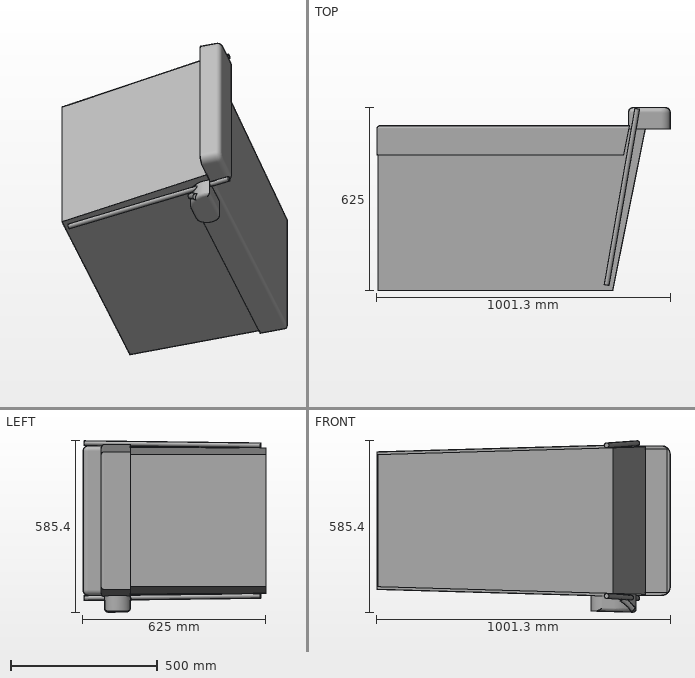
import math

import cadquery as cq

overall_length = 1001.29
overall_depth = 625.0

taper = math.tan(math.radians(1.65))
wall_step = 3.0
box_half_height = 225.2
box_length_front = 805.0
side_lean = math.tan(math.radians(11.4))
box_back = 551.0

band_front = 463.5
band_back = 562.8
band_rise = 9.7
band_length_front = 842.0
band_round = 10.5

cover_left = 858.0
cover_half_height = 255.5
cover_corner_radius = 30.0
cover_edge_round = 18.0
rim_width = 10.5
recess_depth = 0.5

rod_radius = 8.3
rod_front = (784.0, 19.0, 257.0)
rod_back = (888.5, 620.5, 264.4)

knob_left = 730.0
knob_right = 885.0
knob_nose_length = 38.5
knob_bend_radius = 74.0
knob_half_height = 287.6
knob_edge_round = 12.0
knob_top = 240.0
rib_radius = 11.0
rib_start = (835.0, 470.0, -265.0)
rib_end = (872.0, 498.0, -302.0)


def tapered_slab(half_height):
    """Wedge along X whose upper and lower faces spread apart with the taper."""
    end_half_height = half_height + taper * overall_length
    outline = [
        (0, -half_height),
        (overall_length, -end_half_height),
        (overall_length, end_half_height),
        (0, half_height),
    ]
    return cq.Workplane("XZ").polyline(outline).close().extrude(-overall_depth)


def leaning_prism(start, front, back, front_length):
    """Tall prism with a leaning right-hand side, used to trim a wedge in plan."""
    back_length = front_length + (back - front) * side_lean
    outline = [(start, front), (front_length, front), (back_length, back), (start, back)]
    return cq.Workplane("XY").polyline(outline).close().extrude(overall_length, both=True)


def rod(start, end, radius):
    """Cylinder between the centres of its two end faces."""
    direction = cq.Vector(*end) - cq.Vector(*start)
    return cq.Workplane(cq.Solid.makeCylinder(radius, direction.Length, cq.Vector(*start), direction))


def make_box():
    """Wedge trimmed to its leaning wide end."""
    wedge = tapered_slab(box_half_height)
    return wedge.intersect(leaning_prism(wall_step, 0, box_back, box_length_front))


def make_band():
    """Slightly larger wedge wrapping the rear of the box, rounded at the back."""
    wedge = tapered_slab(box_half_height + band_rise)
    band = wedge.intersect(leaning_prism(0, band_front, band_back, band_length_front))
    back_edges = band.faces(">Y").edges("not(>X)")
    return back_edges.fillet(band_round)


def make_cover():
    """Rounded block with a shallow recess in its front face."""
    width = overall_length - cover_left
    height = 2 * cover_half_height
    depth = overall_depth - box_back
    cover = (
        cq.Workplane("XY")
        .box(width, depth, height, centered=(False, False, True))
        .translate((cover_left, box_back, 0))
    )
    cover = cover.edges("|Y and >X").fillet(cover_corner_radius)
    cover = cover.faces(">Y or <X").edges("not(<Y)").fillet(cover_edge_round)
    recess = (
        cq.Workplane("XY")
        .box(width - rim_width, recess_depth, height - 2 * rim_width, centered=(False, False, True))
        .translate((cover_left, box_back, 0))
    )
    return cover.cut(recess)


def make_knob():
    """Bent, round-nosed block hanging under the band, with a slanting rib across its bend."""
    bend_x = knob_right - knob_bend_radius
    bend_y = band_front + knob_bend_radius
    diagonal = knob_bend_radius * math.sqrt(0.5)
    plan = (
        cq.Workplane("XY")
        .moveTo(knob_left, band_front)
        .lineTo(bend_x, band_front)
        .threePointArc((bend_x + diagonal, bend_y - diagonal), (knob_right, bend_y))
        .lineTo(knob_right, box_back)
        .lineTo(knob_left, box_back)
        .close()
        .extrude(-overall_length)
    )
    knob = plan.intersect(tapered_slab(knob_half_height))
    knob = knob.faces("<Z").edges("not(<X)").fillet(knob_edge_round)

    nose_x = knob_left + knob_nose_length
    nose_trim = (
        cq.Workplane("XY")
        .moveTo(nose_x, band_front)
        .lineTo(knob_right, band_front)
        .lineTo(knob_right, box_back)
        .lineTo(nose_x, box_back)
        .threePointArc((knob_left, (band_front + box_back) / 2), (nose_x, band_front))
        .close()
        .extrude(-overall_length)
    )
    above_knob = (
        cq.Workplane("XY")
        .box(overall_length, overall_depth, knob_top, centered=(False, False, False))
        .translate((0, 0, -knob_top))
    )
    knob = knob.intersect(nose_trim).cut(above_knob)
    return knob.union(rod(rib_start, rib_end, rib_radius))


upper_rod = rod(rod_front, rod_back, rod_radius)
result = make_box().union(make_band()).union(make_cover()).union(make_knob())
result = result.union(upper_rod).union(upper_rod.mirror("XY"))